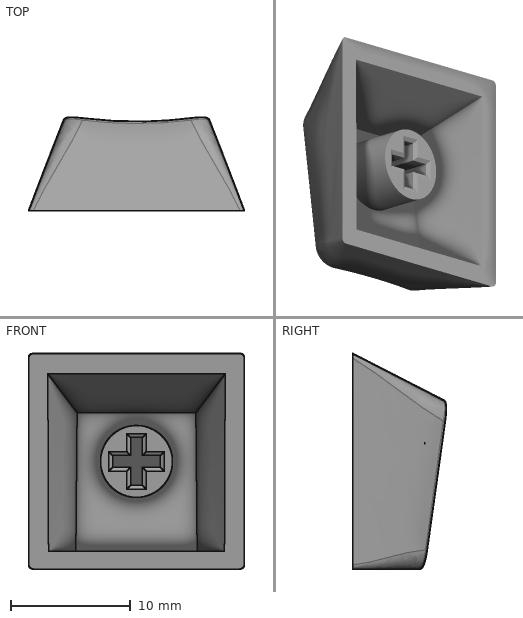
import cadquery as cq
import math


base_size = 18.0
crown_width = 12.0
crown_height = 8.0
crown_upper_z = 4.9
touch_tilt = math.radians(8)
wall = 1.5

base_corner_radius = 0.4
crown_corner_radius = 1.75

dish_radius = 34.0
dish_depth = 0.55
rim_fillet = 0.3

stem_diameter = 6.0
stem_face_y = 1.0
cross_length = 4.0
cross_arm_width = 1.0
lead_in_width = 0.32
lead_in_depth = 0.2

half_base = base_size / 2
half_crown = crown_width / 2
crown_lower_y = crown_height - (crown_upper_z + half_base) * math.tan(touch_tilt)
crown_middle_y = crown_height - crown_upper_z * math.tan(touch_tilt)


def wall_outline(half_width, lower_y, upper_y, upper_z):
    """Four-sided outline symmetric in X, its lower edge in line with the bottom of the base."""
    corners = [
        cq.Vector(-half_width, lower_y, -half_base),
        cq.Vector(half_width, lower_y, -half_base),
        cq.Vector(half_width, upper_y, upper_z),
        cq.Vector(-half_width, upper_y, upper_z),
    ]
    return cq.Wire.makePolygon(corners, close=True)


def make_sharp_body():
    """Square base lofted to the narrower, tilted touch face."""
    base = wall_outline(half_base, 0, 0, half_base)
    crown = wall_outline(half_crown, crown_lower_y, crown_height, crown_upper_z)
    return cq.Workplane(cq.Solid.makeLoft([base, crown], True))


def round_rising_edges(body):
    """Fillet the four corner edges with a radius that grows away from the open face."""
    solid = body.val()
    fillet = cq.occ_impl.shapes.BRepFilletAPI_MakeFillet(solid.wrapped)
    for edge in solid.Edges():
        if edge.BoundingBox().ylen > crown_height / 2:
            fillet.Add(base_corner_radius, crown_corner_radius, edge.wrapped)
    return cq.Workplane(cq.Shape.cast(fillet.Shape()))


def dish_touch_face(body):
    """Hollow the touch face with a cylinder along its slope and round the rim."""
    slope = cq.Vector(0, math.sin(touch_tilt), math.cos(touch_tilt))
    outward = cq.Vector(0, math.cos(touch_tilt), -math.sin(touch_tilt))
    length = 2 * base_size
    axis_middle = cq.Vector(0, crown_middle_y, 0) + outward * (dish_radius - dish_depth)
    axis_start = axis_middle - slope * (length / 2)
    cylinder = cq.Solid.makeCylinder(dish_radius, length, axis_start, slope)
    dished = body.cut(cq.Workplane(cylinder))
    return dished.faces("%CYLINDER").edges().fillet(rim_fillet)


def make_cavity(body):
    """Space inside the sharp body, leaving walls and a roof of equal thickness."""
    shell = body.faces("<Y").shell(-wall)
    return body.cut(shell)


def make_socket_bar(x_size, z_size):
    """One bar of the cross, with a tapered lead-in at the stem face."""
    stem_face = cq.Workplane("XZ", origin=(0, stem_face_y, 0))
    lead_in = (
        stem_face.rect(x_size + 2 * lead_in_width, z_size + 2 * lead_in_width)
        .workplane(offset=-lead_in_depth)
        .rect(x_size, z_size)
        .loft(ruled=True)
    )
    straight = stem_face.rect(x_size, z_size).extrude(-crown_height)
    return lead_in.union(straight)


def make_stem(cavity):
    """Round post rising to the cavity roof, its cross socket as deep as the roof."""
    post = (
        cq.Workplane("XZ", origin=(0, stem_face_y, 0))
        .circle(stem_diameter / 2)
        .extrude(-crown_height)
    )
    across = make_socket_bar(cross_length, cross_arm_width)
    upright = make_socket_bar(cross_arm_width, cross_length)
    return post.cut(across).cut(upright).intersect(cavity)


sharp_body = make_sharp_body()
cavity = make_cavity(sharp_body)
outer_body = dish_touch_face(round_rising_edges(sharp_body))
result = outer_body.cut(cavity).union(make_stem(cavity))